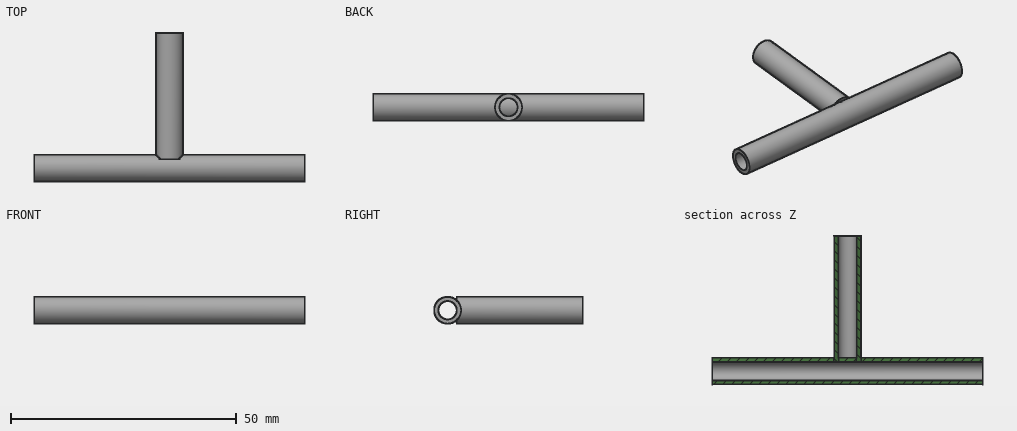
import cadquery as cq

tube_length = 60.0
outer_diameter = 6.0
bore_diameter = 4.0
branch_far_end = 30.0

branch_near_end = bore_diameter / 2
branch_length = branch_far_end - branch_near_end


def tube_profile(plane, origin):
    """Ring-shaped cross-section shared by both tubes."""
    return (
        cq.Workplane(plane, origin=origin)
        .circle(outer_diameter / 2)
        .circle(bore_diameter / 2)
    )


def make_branch():
    """Tube along +Y, square-cut at both ends."""
    return tube_profile("XZ", (0, branch_near_end, 0)).extrude(-branch_length)


def make_main_tube(branch):
    """Tube centred along X, with a matching socket for the wall of the branch."""
    tube = tube_profile("YZ", (-tube_length / 2, 0, 0)).extrude(tube_length)
    return tube.cut(branch)


branch = make_branch()
main_tube = make_main_tube(branch)

result = cq.Compound.makeCompound([*main_tube.solids().vals(), *branch.solids().vals()])